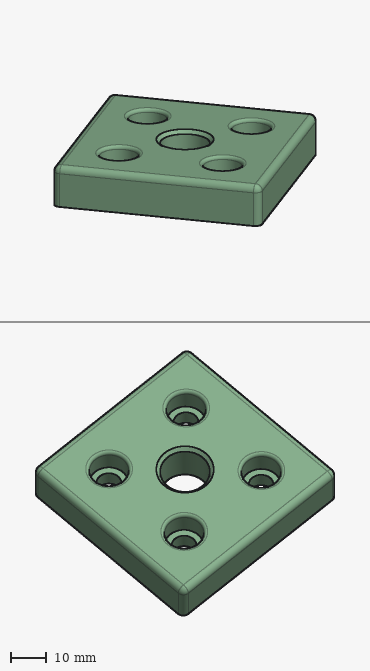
import cadquery as cq

plate_side = 60.0
plate_thickness = 12.0
edge_radius = 2.0

bore_diameter = 13.84
bore_mouth_diameter = 16.0
bore_chamfer = (bore_mouth_diameter - bore_diameter) / 2

screw_spacing = plate_side / 2
screw_hole_diameter = 7.0
counterbore_diameter = 11.0
counterbore_depth = 7.0
counterbore_lip_radius = 1.0


def rounded_plate():
    """Square plate on Z = 0 with rounded vertical and top edges."""
    plate = cq.Workplane("XY").box(
        plate_side, plate_side, plate_thickness, centered=(True, True, False)
    )
    return plate.edges("|Z or >Z").fillet(edge_radius)


def central_bore_cutter():
    """Through bore with a 45 degree chamfer widening it at the top face."""
    bore_radius = bore_diameter / 2
    mouth_radius = bore_mouth_diameter / 2
    return (
        cq.Workplane("XZ")
        .lineTo(bore_radius, 0)
        .lineTo(bore_radius, plate_thickness - bore_chamfer)
        .lineTo(mouth_radius, plate_thickness)
        .lineTo(0, plate_thickness)
        .close()
        .revolve()
    )


def screw_hole_cutter():
    """Stepped through hole whose counterbore meets the top face in a rounded lip."""
    hole_radius = screw_hole_diameter / 2
    counterbore_radius = counterbore_diameter / 2
    counterbore_floor = plate_thickness - counterbore_depth
    lip_start = plate_thickness - counterbore_lip_radius
    mouth_radius = counterbore_radius + counterbore_lip_radius
    return (
        cq.Workplane("XZ")
        .lineTo(hole_radius, 0)
        .lineTo(hole_radius, counterbore_floor)
        .lineTo(counterbore_radius, counterbore_floor)
        .lineTo(counterbore_radius, lip_start)
        .radiusArc((mouth_radius, plate_thickness), counterbore_lip_radius)
        .lineTo(0, plate_thickness)
        .close()
        .revolve()
    )


result = rounded_plate().cut(central_bore_cutter())

for x_side in (-1, 1):
    for y_side in (-1, 1):
        screw_position = (x_side * screw_spacing / 2, y_side * screw_spacing / 2, 0)
        result = result.cut(screw_hole_cutter().translate(screw_position))